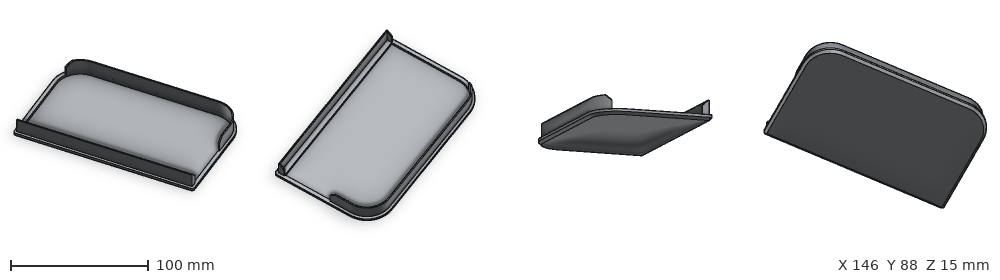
import cadquery as cq

LENGTH = 146.0
DEPTH = 88.0
TOTAL_HEIGHT = 15.0
PLATE_HEIGHT = 4.1
FLOOR_THICKNESS = 2.0
BOTTOM_CHAMFER = 2.0
REAR_RADIUS = 22.0
FRONT_RADIUS = 2.2

WALL_INSET = 2.0
WALL_THICKNESS = 1.0
POCKET_INSET = WALL_INSET + WALL_THICKNESS

OPENING_FRONT = 7.2
LEFT_OPENING_REAR = DEPTH - 11.8
RIGHT_OPENING_REAR = DEPTH - 40.7
OPENING_SLOPE = 4.1


def rear_rounded_block(inset, bottom, top):
    """Block inset from the plate outline, with rounded rear corners."""
    return (
        cq.Workplane("XY", origin=(0, DEPTH / 2, bottom))
        .rect(LENGTH - 2 * inset, DEPTH - 2 * inset)
        .extrude(top - bottom)
        .edges("|Z and >Y")
        .fillet(REAR_RADIUS - inset)
    )


def base_plate():
    plate = rear_rounded_block(0, 0, PLATE_HEIGHT)
    plate = plate.edges("|Z and <Y").fillet(FRONT_RADIUS)
    return plate.faces("<Z").chamfer(BOTTOM_CHAMFER)


def side_opening(rear, start_x):
    """Cutter over half the length, widening towards the wall's top edge."""
    slope_start = TOTAL_HEIGHT - OPENING_SLOPE
    return (
        cq.Workplane("YZ", origin=(start_x, 0, 0))
        .polyline([
            (OPENING_FRONT, PLATE_HEIGHT),
            (rear, PLATE_HEIGHT),
            (rear, slope_start),
            (rear + OPENING_SLOPE, TOTAL_HEIGHT),
            (OPENING_FRONT - OPENING_SLOPE, TOTAL_HEIGHT),
            (OPENING_FRONT, slope_start),
        ])
        .close()
        .extrude(LENGTH / 2)
    )


def floor_pocket():
    """Recess inside the wall, leaving a raised ledge behind the front wall."""
    recess = rear_rounded_block(POCKET_INSET, FLOOR_THICKNESS, TOTAL_HEIGHT)
    ledge = cq.Workplane("XY").box(
        LENGTH, OPENING_FRONT, PLATE_HEIGHT, centered=(True, False, False)
    )
    return recess.cut(ledge)


wall = rear_rounded_block(WALL_INSET, PLATE_HEIGHT, TOTAL_HEIGHT)
wall = wall.cut(side_opening(LEFT_OPENING_REAR, -LENGTH / 2))
wall = wall.cut(side_opening(RIGHT_OPENING_REAR, 0))

result = base_plate().union(wall).cut(floor_pocket())